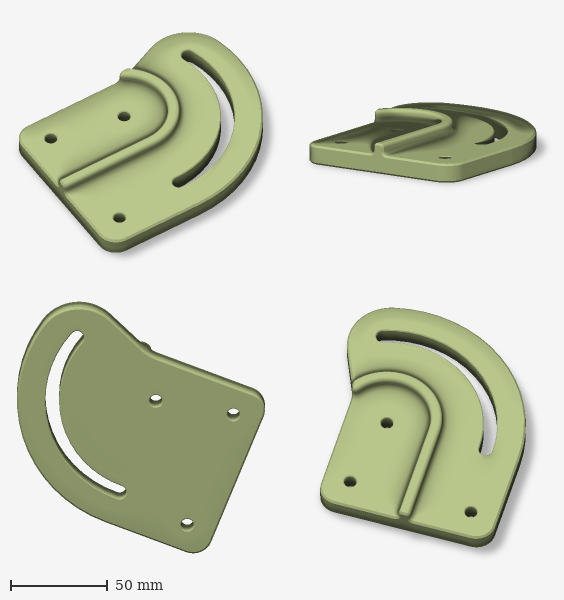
import cadquery as cq
import math

plate_thickness = 10.0
rim_radius = 71.6
left_x = -22.0
bottom_y = -55.0
corner_radius = 10.0
tip_radius = 23.0
tip_left_x = -34.74
neck_angle = 23.2
neck_radius = 23.0
edge_chamfer = 1.0

rib_height = 6.0
rib_width = 6.0
rib_centre_radius = 25.5
rib_end_angle = 147.0
rib_round = 2.0

slot_radius = 53.4
slot_width = 7.0
slot_start_angle = -1.0
slot_end_angle = 109.0

hole_diameter = 6.4
hole_positions = [(0.0, 0.0), (-7.75, -40.0), (57.25, -40.0)]

opening_chamfer = 0.5

total_height = plate_thickness + rib_height
selection_margin = 0.1


def polar(radius, angle, centre=(0.0, 0.0)):
    """Point at a radius and an angle in degrees around a centre."""
    a = math.radians(angle)
    return (centre[0] + radius * math.cos(a), centre[1] + radius * math.sin(a))


def plate_outline(height):
    """Solid with the plate's outline: square lower end, quarter-round rim, rounded tip and neck."""
    tip_x = tip_left_x + tip_radius
    tip_centre = (tip_x, math.sqrt((rim_radius - tip_radius) ** 2 - tip_x ** 2))
    tip_angle = math.degrees(math.atan2(tip_centre[1], tip_centre[0]))
    neck_start_angle = 180.0 + neck_angle
    neck_start = polar(tip_radius, neck_start_angle, tip_centre)
    neck_corner_y = neck_start[1] - (left_x - neck_start[0]) / math.tan(math.radians(neck_angle))

    hollow_length = neck_radius * math.tan(math.radians(neck_angle / 2))
    hollow_end = (left_x, neck_corner_y - hollow_length)
    hollow_centre = (left_x - neck_radius, hollow_end[1])

    outline = (
        cq.Workplane("XY")
        .moveTo(left_x, bottom_y)
        .lineTo(rim_radius, bottom_y)
        .lineTo(rim_radius, 0)
        .threePointArc(polar(rim_radius, tip_angle / 2), polar(rim_radius, tip_angle))
        .threePointArc(polar(tip_radius, (tip_angle + neck_start_angle) / 2, tip_centre), neck_start)
        .lineTo(*polar(neck_radius, neck_angle, hollow_centre))
        .threePointArc(polar(neck_radius, neck_angle / 2, hollow_centre), hollow_end)
        .close()
        .extrude(height)
    )
    return outline.faces("<Y").edges("|Z").fillet(corner_radius)


def rib_strip():
    """Strip along the rib's path: past the bottom side at one end, fully rounded at the other."""
    inner = rib_centre_radius - rib_width / 2
    outer = rib_centre_radius + rib_width / 2
    start_y = bottom_y - rib_width
    end_centre = polar(rib_centre_radius, rib_end_angle)
    return (
        cq.Workplane("XY")
        .moveTo(inner, start_y)
        .lineTo(outer, start_y)
        .lineTo(outer, 0)
        .threePointArc(polar(outer, rib_end_angle / 2), polar(outer, rib_end_angle))
        .threePointArc(polar(rib_width / 2, rib_end_angle + 90, end_centre), polar(inner, rib_end_angle))
        .threePointArc(polar(inner, rib_end_angle / 2), (inner, 0))
        .close()
        .extrude(total_height)
    )


def ribbed_slab():
    """Oversized slab with the rib standing on it, rounded along its top and filleted at its foot."""
    slab_size = 4 * rim_radius
    slab = cq.Workplane("XY").box(slab_size, slab_size, plate_thickness, centered=(True, True, False))
    body = slab.union(rib_strip())
    body = body.faces(">Z").edges().fillet(rib_round)
    foot = cq.selectors.BoxSelector(
        (-rim_radius, -rim_radius, plate_thickness - selection_margin),
        (rim_radius, rim_radius, plate_thickness + selection_margin),
    )
    return body.edges(foot).fillet(rib_round)


def chamfer_outline(body):
    """Chamfer the whole edge around the side wall, also where it climbs over the ends of the rib."""
    wall = [f for f in body.faces("not <Z").vals() if f.BoundingBox().zmin < plate_thickness / 2]
    wall_edges = [e for face in wall for e in face.Edges()]
    rims = [e for e in wall_edges if sum(e.isSame(other) for other in wall_edges) == 1]
    return body.newObject(rims).chamfer(edge_chamfer)


def arc_slot():
    """Round-ended slot that runs along an arc around the pivot hole."""
    inner = slot_radius - slot_width / 2
    outer = slot_radius + slot_width / 2
    middle_angle = (slot_start_angle + slot_end_angle) / 2
    start_tip = polar(slot_width / 2, slot_start_angle - 90, polar(slot_radius, slot_start_angle))
    end_tip = polar(slot_width / 2, slot_end_angle + 90, polar(slot_radius, slot_end_angle))
    return (
        cq.Workplane("XY")
        .moveTo(*polar(outer, slot_start_angle))
        .threePointArc(polar(outer, middle_angle), polar(outer, slot_end_angle))
        .threePointArc(end_tip, polar(inner, slot_end_angle))
        .threePointArc(polar(inner, middle_angle), polar(inner, slot_start_angle))
        .threePointArc(start_tip, polar(outer, slot_start_angle))
        .close()
        .extrude(plate_thickness)
    )


def mounting_holes():
    """Cylinders of the pivot hole and the two lower holes."""
    return (
        cq.Workplane("XY")
        .pushPoints(hole_positions)
        .circle(hole_diameter / 2)
        .extrude(plate_thickness)
    )


def chamfer_openings(body):
    """Chamfer the rims of the slot and the holes: the inner wires of the flat top and underside."""
    inner_wires = [wire for face in body.faces("|Z").vals() for wire in face.innerWires()]
    rims = [edge for wire in inner_wires for edge in wire.Edges()]
    return body.newObject(rims).chamfer(opening_chamfer)


result = chamfer_outline(ribbed_slab().intersect(plate_outline(total_height)))
result = chamfer_openings(result.cut(arc_slot()).cut(mounting_holes()))